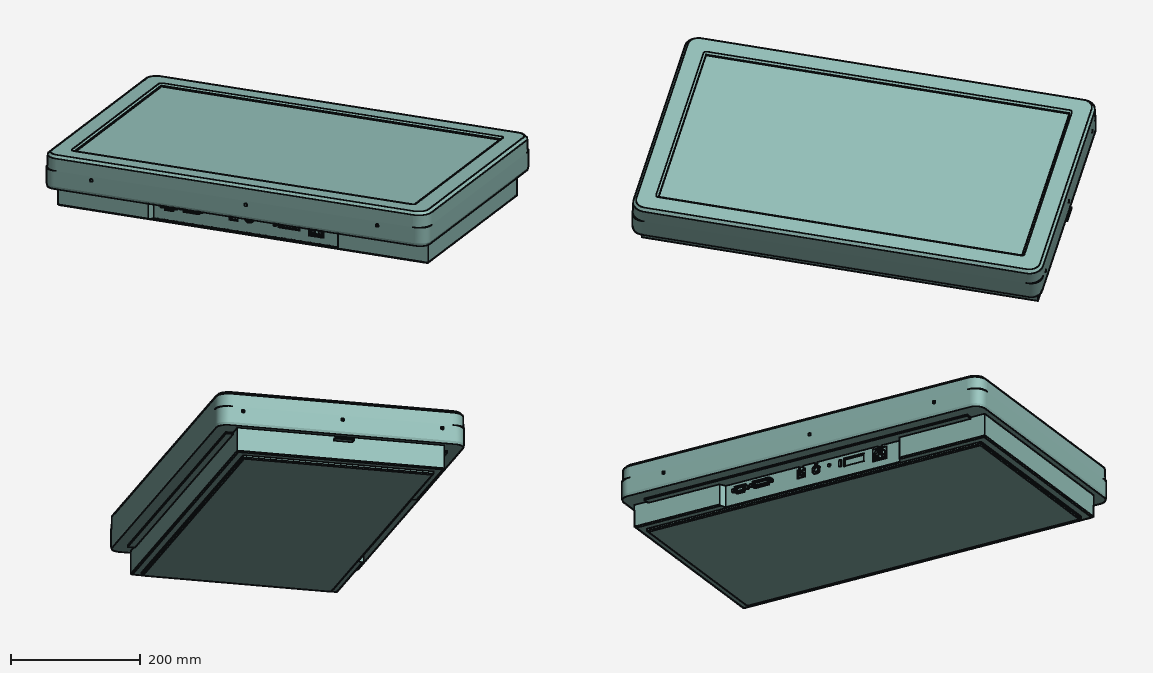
import cadquery as cq
import math


length = 650.0
width = 397.0
height = 99.5

seam_depth = 25.0
bevel_start_depth = 51.0
housing_depth = 55.0
gasket_depth = 58.0
box_depth = 94.0

bezel_corner_radius = 22.0
bezel_draft = 1.5
bezel_bevel = 4.5

screen_margin_x = 33.0
screen_margin_y = 32.5
screen_corner_radius = 4.5
screen_slope_depth = 2.5
screen_slope_inset = 4.0
screen_step = 2.0

housing_corner_radius = 18.0
housing_bevel_inset = 1.0
screw_hole_diameter = 4.5
screw_hole_bore = 6.5
screw_hole_depth = 31.0
front_screw_places = (-242.5, 19.5, 242.5)
side_screw_places = (-159.0, 0.0, 159.0)

gasket_length = 579.0
gasket_width = 354.5
box_length = 628.0
box_width = 331.0
box_bevel = 2.0
base_length = 599.5
base_width = 305.0
base_bevel = 2.0

tab_width = 30.0
tab_thickness = 2.0
tab_depth = 61.0
tab_offset_y = -3.0

bay_floor_length = 312.0
bay_mouth_length = 322.5
bay_recess = 10.0

port_bore = 5.0
connector_height = 3.0
connector_wall = 1.0
contact_gap = 2.0
post_diameter = 5.0
relief_bore = 3.0
wide_relief = 8.0
narrow_relief = 5.0

vga_x = -129.0
vga_depth = 71.0
vga_length = 19.5
vga_height = 12.0
vga_post_spacing = 25.0
dvi_x = -91.0
dvi_depth = 69.5
dvi_length = 31.0
dvi_height = 11.0
dvi_post_spacing = 36.0

data_x = -21.0
data_size = 14.0
data_tongue_length = 6.5
data_tongue_height = 3.0

port_depth = 70.0
jack_x = 6.0
jack_diameter = 14.0
jack_pin_diameter = 7.0
light_x = 29.0
light_depth = 68.0
light_diameter = 4.5
key_x = 49.5
key_length = 12.0
key_width = 5.0
card_x = 73.5
card_length = 36.0
card_height = 13.5

inlet_x = 120.0
inlet_depth = 72.0
inlet_length = 25.0
inlet_height = 20.0
flange_margin = 2.5
flange_thickness = 1.0
inlet_corner = 4.5
pin_size = 4.0
pin_offset_x = 6.0
pin_offset_z = 3.0

box_front = -box_width / 2
bay_floor = box_front + bay_recess


def level(depth):
    """Z of a plane lying at a depth below the top face."""
    return height - depth


def slab(size_x, size_y, top_depth, bottom_depth):
    """Centred rectangular plate between two depths."""
    plate = cq.Workplane("XY", origin=(0, 0, level(bottom_depth)))
    return plate.rect(size_x, size_y).extrude(bottom_depth - top_depth)


def make_bezel():
    bezel = (
        cq.Workplane("XY", origin=(0, 0, level(seam_depth)))
        .sketch()
        .rect(length, width)
        .vertices()
        .fillet(bezel_corner_radius)
        .finalize()
        .extrude(seam_depth, taper=bezel_draft)
    )
    return bezel.faces(">Z").chamfer(bezel_bevel)


def make_screen_recess():
    """Sloping rim with a straight step down to the screen below it."""
    wall_angle = math.degrees(math.atan2(screen_slope_inset, screen_slope_depth))
    rim = (
        cq.Workplane("XY", origin=(0, 0, height))
        .sketch()
        .rect(length - 2 * screen_margin_x, width - 2 * screen_margin_y)
        .vertices()
        .fillet(screen_corner_radius)
        .finalize()
        .extrude(-screen_slope_depth, taper=wall_angle)
    )
    screen_length = length - 2 * (screen_margin_x + screen_slope_inset)
    screen_width = width - 2 * (screen_margin_y + screen_slope_inset)
    return rim.union(slab(screen_length, screen_width, 0, screen_slope_depth + screen_step))


def make_housing():
    bevel_height = housing_depth - bevel_start_depth
    housing = slab(length, width, seam_depth, housing_depth)
    housing = housing.edges("|Z").fillet(housing_corner_radius)
    return housing.faces("<Z").chamfer(bevel_height, housing_bevel_inset)


def make_screw_holes():
    front = cq.Workplane("XZ", origin=(0, -width / 2, level(screw_hole_depth)))
    front = front.pushPoints([(x, 0) for x in front_screw_places])
    side = cq.Workplane("YZ", origin=(-length / 2, 0, level(screw_hole_depth)))
    side = side.pushPoints([(y, 0) for y in side_screw_places])
    radius = screw_hole_diameter / 2
    return front.circle(radius).extrude(-screw_hole_bore).union(side.circle(radius).extrude(screw_hole_bore))


def make_box():
    box = slab(box_length, box_width, housing_depth, box_depth)
    return box.faces("<Z").chamfer(box_bevel)


def make_base():
    base = slab(base_length, base_width, box_depth, height)
    return base.faces("<Z").chamfer(base_bevel)


def make_tab():
    reach = (length - box_length) / 2
    tab = cq.Workplane("XY").box(reach, tab_width, tab_thickness, centered=(False, True, False))
    return tab.translate((-length / 2, tab_offset_y, level(tab_depth + tab_thickness)))


def make_bay():
    """Recess with sloping ends, open at the bottom of the box."""
    return (
        cq.Workplane("XY", origin=(0, 0, level(box_depth)))
        .moveTo(-bay_mouth_length / 2, box_front)
        .lineTo(bay_mouth_length / 2, box_front)
        .lineTo(bay_floor_length / 2, bay_floor)
        .lineTo(-bay_floor_length / 2, bay_floor)
        .close()
        .extrude(box_depth - gasket_depth)
    )


def on_bay_floor(x, depth):
    """Work plane on the bay floor, facing -Y, centred on one connector."""
    return cq.Workplane("XZ", origin=(x, bay_floor, level(depth)))


def d_sub(x, depth, body_length, body_height, post_spacing):
    """Raised connector shell with slanted ends, a contact block and a screw post on each side."""
    slant = body_height / 4
    half_length = body_length / 2
    half_height = body_height / 2
    shell = (
        on_bay_floor(x, depth)
        .moveTo(-half_length, half_height)
        .lineTo(half_length, half_height)
        .lineTo(half_length - slant, -half_height)
        .lineTo(-half_length + slant, -half_height)
        .close()
        .extrude(connector_height)
        .faces("<Y")
        .shell(-connector_wall)
    )
    contact_inset = 2 * (connector_wall + contact_gap)
    contacts = on_bay_floor(x, depth).rect(body_length - slant - contact_inset, body_height - contact_inset)
    shell = shell.union(contacts.extrude(connector_height))
    posts = on_bay_floor(x, depth).pushPoints([(-post_spacing / 2, 0), (post_spacing / 2, 0)])
    return shell.union(posts.circle(post_diameter / 2).extrude(connector_height))


def square_port(x, depth, size_x, size_z):
    """Rectangular socket opening."""
    return on_bay_floor(x, depth).rect(size_x, size_z).extrude(-port_bore)


def round_port(x, depth, diameter):
    """Round socket opening."""
    return on_bay_floor(x, depth).circle(diameter / 2).extrude(-port_bore)


def relief(x, relief_width, port_top_depth):
    """Slot between the upper edge of the bay and the top of a socket."""
    slot_height = port_top_depth - gasket_depth
    slot = on_bay_floor(x, gasket_depth + slot_height / 2)
    return slot.rect(relief_width, slot_height).extrude(-relief_bore)


def make_raised_connectors():
    vga = d_sub(vga_x, vga_depth, vga_length, vga_height, vga_post_spacing)
    dvi = d_sub(dvi_x, dvi_depth, dvi_length, dvi_height, dvi_post_spacing)
    flange = on_bay_floor(inlet_x, inlet_depth).rect(inlet_length, inlet_height).extrude(flange_thickness)
    return vga.union(dvi).union(flange)


def make_sockets():
    tongue = square_port(data_x, port_depth, data_tongue_length, data_tongue_height)
    sockets = square_port(data_x, port_depth, data_size, data_size).cut(tongue)
    jack_pin = round_port(jack_x, port_depth, jack_pin_diameter)
    sockets = sockets.union(round_port(jack_x, port_depth, jack_diameter).cut(jack_pin))
    sockets = sockets.union(round_port(light_x, light_depth, light_diameter))
    key = on_bay_floor(key_x, port_depth).slot2D(key_length, key_width, 90)
    sockets = sockets.union(key.extrude(-port_bore))
    sockets = sockets.union(square_port(card_x, port_depth, card_length, card_height))
    opening_length = inlet_length - 2 * flange_margin
    opening_height = inlet_height - 2 * flange_margin
    inlet = square_port(inlet_x, inlet_depth, opening_length, opening_height)
    inlet = inlet.translate((0, -flange_thickness, 0)).faces(">Z").edges("|Y").chamfer(inlet_corner)
    pin_places = [(-pin_offset_x, -pin_offset_z), (0, pin_offset_z), (pin_offset_x, -pin_offset_z)]
    pins = on_bay_floor(inlet_x, inlet_depth).pushPoints(pin_places).rect(pin_size, pin_size)
    sockets = sockets.union(inlet.cut(pins.extrude(-port_bore)))
    sockets = sockets.union(relief(data_x, wide_relief, port_depth - data_size / 2))
    sockets = sockets.union(relief(jack_x, narrow_relief, port_depth - jack_diameter / 2))
    return sockets.union(relief(inlet_x, wide_relief, inlet_depth - inlet_height / 2))


result = make_bezel().cut(make_screen_recess())
result = result.union(make_housing()).cut(make_screw_holes())
result = result.union(make_box().cut(make_bay()))
result = result.union(slab(gasket_length, gasket_width, housing_depth, gasket_depth))
result = result.union(make_base()).union(make_tab())
result = result.union(make_raised_connectors()).cut(make_sockets())